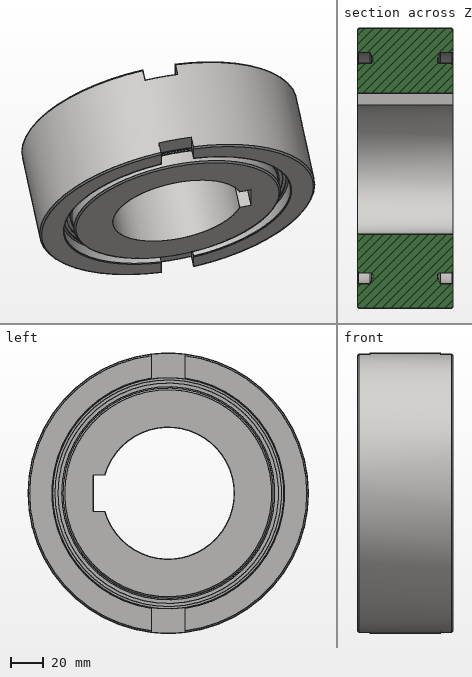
import cadquery as cq

outer_radius = 85.0
width = 58.0
edge_chamfer = 1.0

recess_outer_radius = 70.0
recess_lip_chamfer = 0.5
shoulder_depth = 7.6
shoulder_radius = 68.7
step_depth = 8.5
step_radius = 66.8
floor_depth = 9.4
hub_step_radius = 64.6
hub_radius = 63.8
hub_chamfer = 1.0

bore_radius = 40.0
keyway_width = 22.1
keyway_reach = 45.4

slot_width = 20.0
slot_depth = 7.5

half_width = width / 2


def make_ring():
    """Outer cylinder with chamfered rims, centred on the X axis."""
    ring = cq.Workplane("YZ").circle(outer_radius).extrude(half_width, both=True)
    return ring.faces("<X or >X").edges().chamfer(edge_chamfer)


def make_recess():
    """Recess of the -X face, revolved from its (X, radius) section."""
    face_x = -half_width
    section = [
        (face_x, hub_radius - hub_chamfer),
        (face_x, recess_outer_radius + recess_lip_chamfer),
        (face_x + recess_lip_chamfer, recess_outer_radius),
        (face_x + shoulder_depth, recess_outer_radius),
        (face_x + shoulder_depth, shoulder_radius),
        (face_x + step_depth, shoulder_radius),
        (face_x + step_depth, step_radius),
        (face_x + floor_depth, step_radius),
        (face_x + floor_depth, hub_step_radius),
        (face_x + step_depth, hub_step_radius),
        (face_x + step_depth, hub_radius),
        (face_x + hub_chamfer, hub_radius),
    ]
    profile = cq.Workplane("XY").polyline(section).close()
    return profile.revolve(360, (0, 0, 0), (1, 0, 0))


def make_slots():
    """Pair of slots in the -X face, running outward from the recess wall."""
    bar = cq.Workplane("XY").box(slot_depth, slot_width, 2 * outer_radius)
    bar = bar.translate((-half_width + slot_depth / 2, 0, 0))
    hub_clearance = cq.Workplane("YZ").circle(recess_outer_radius).extrude(half_width, both=True)
    return bar.cut(hub_clearance)


def make_bore():
    """Through bore joined with its rectangular keyway."""
    bore = cq.Workplane("YZ").circle(bore_radius).extrude(half_width, both=True)
    keyway = cq.Workplane("XY").box(width, keyway_reach, keyway_width)
    return bore.union(keyway.translate((0, keyway_reach / 2, 0)))


result = make_ring().cut(make_bore())
for end_cut in (make_recess(), make_slots()):
    result = result.cut(end_cut).cut(end_cut.mirror("YZ"))